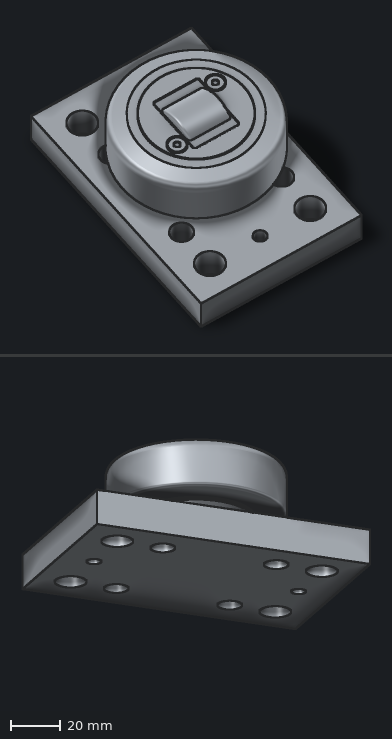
import cadquery as cq
import math

plate_length = 120.0
plate_width = 80.0
plate_height = 15.0
corner_hole_diameter = 13.0
inner_hole_diameter = 10.1
dowel_hole_diameter = 6.0
hole_x = 45.0
hole_y = 25.0
inner_hole_x = 25.0

neck_radius = 24.0
neck_top = 24.5
groove_radius = 23.4
groove_top = 25.2
roller_radius = 37.0
roller_bottom = 25.5
roller_bottom_round = 1.7
roller_top = 48.6
crown_flat_radius = 28.3
crown_angle = math.radians(18.5)
crown_round = 4.0

cover_radius = 24.0
cover_top = 49.0
cover_chamfer = 0.2
pocket_length = 29.5
pocket_width = 22.7
pocket_depth = 0.6
pocket_corner = 1.0

total_height = 52.5
side_roller_radius = 14.0
side_roller_length = 22.0
side_roller_round = 1.8

screw_x = 8.8
screw_y = 15.7
screw_seat_diameter = 8.6
screw_head_diameter = 7.8
screw_seat_depth = 0.4
socket_diameter = 2.9
socket_depth = 0.6


def make_plate():
    plate = cq.Workplane("XY").box(
        plate_length, plate_width, plate_height, centered=(True, True, False)
    )
    top = plate.faces(">Z").workplane()
    plate = top.rect(2 * hole_x, 2 * hole_y, forConstruction=True).vertices().hole(corner_hole_diameter)
    top = plate.faces(">Z").workplane()
    plate = top.rect(2 * inner_hole_x, 2 * hole_y, forConstruction=True).vertices().hole(inner_hole_diameter)
    top = plate.faces(">Z").workplane()
    return top.pushPoints([(-hole_x, 0), (hole_x, 0)]).hole(dowel_hole_diameter)


def make_turned_body():
    round_centre_r = roller_radius - crown_round
    crown_edge_r = round_centre_r + crown_round * math.sin(crown_angle)
    crown_edge_z = roller_top - (crown_edge_r - crown_flat_radius) * math.tan(crown_angle)
    round_centre_z = crown_edge_z - crown_round * math.cos(crown_angle)
    middle_angle = (math.pi / 2 - crown_angle) / 2
    round_middle = (
        round_centre_r + crown_round * math.cos(middle_angle),
        round_centre_z + crown_round * math.sin(middle_angle),
    )
    return (
        cq.Workplane("XZ")
        .moveTo(0, plate_height)
        .lineTo(neck_radius, plate_height)
        .lineTo(neck_radius, neck_top)
        .lineTo(groove_radius, neck_top)
        .lineTo(groove_radius, groove_top)
        .lineTo(neck_radius, groove_top)
        .lineTo(neck_radius, roller_bottom)
        .lineTo(roller_radius - roller_bottom_round, roller_bottom)
        .radiusArc((roller_radius, roller_bottom + roller_bottom_round), -roller_bottom_round)
        .lineTo(roller_radius, round_centre_z)
        .threePointArc(round_middle, (crown_edge_r, crown_edge_z))
        .lineTo(crown_flat_radius, roller_top)
        .lineTo(cover_radius, roller_top)
        .lineTo(cover_radius, cover_top - cover_chamfer)
        .lineTo(cover_radius - cover_chamfer, cover_top)
        .lineTo(0, cover_top)
        .close()
        .revolve(360, (0, 0, 0), (0, 1, 0))
    )


def make_pocket():
    return (
        cq.Workplane("XY", origin=(0, 0, cover_top - pocket_depth))
        .rect(pocket_length, pocket_width)
        .extrude(pocket_depth)
        .edges("|Z")
        .fillet(pocket_corner)
    )


def make_side_roller():
    axis_height = total_height - side_roller_radius
    return (
        cq.Workplane("XZ", origin=(0, 0, axis_height))
        .circle(side_roller_radius)
        .extrude(side_roller_length / 2, both=True)
        .faces("<Y or >Y")
        .edges()
        .fillet(side_roller_round)
    )


def make_screw_recesses():
    centres = [(-screw_x, screw_y), (screw_x, -screw_y)]
    cover_plane = cq.Workplane("XY", origin=(0, 0, cover_top)).pushPoints(centres)
    seats = cover_plane.circle(screw_seat_diameter / 2).extrude(-screw_seat_depth)
    heads = cover_plane.circle(screw_head_diameter / 2).extrude(-screw_seat_depth)
    sockets = cover_plane.circle(socket_diameter / 2).extrude(-socket_depth)
    return seats.cut(heads).union(sockets)


body = make_turned_body().cut(make_screw_recesses()).cut(make_pocket())
result = make_plate().union(body).union(make_side_roller())